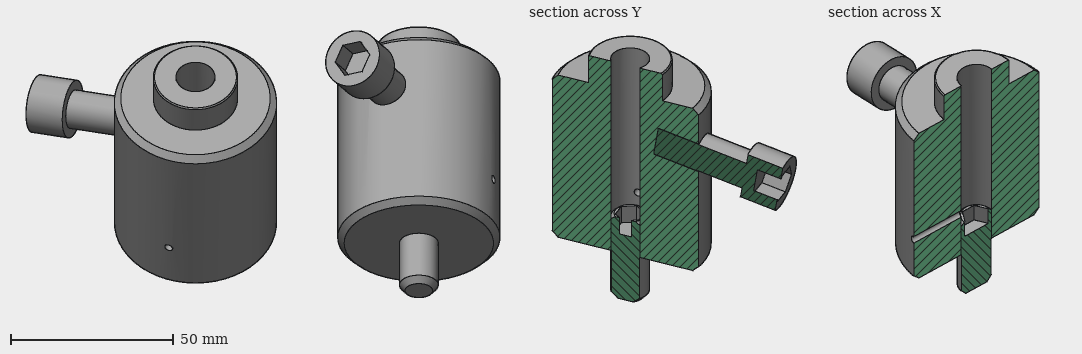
import cadquery as cq
import math


body_diameter = 50.0
body_height = 60.0
body_chamfer = 2.0
collar_diameter = 26.0
collar_height = 10.0
collar_chamfer = 0.4
housing_height = body_height + collar_height

vent_diameter = 2.5
vent_height = 17.0

thread_diameter = 12.0
screw_length = 30.0

set_screw_projection = 17.0
set_screw_top_chamfer = 1.07
set_screw_tip_chamfer_width = 1.75
set_screw_tip_chamfer_height = 2.0
set_screw_socket_flats = 8.0
set_screw_socket_depth = 6.0

cap_screw_tilt = 9.0
cap_head_diameter = 18.0
cap_head_height = thread_diameter
cap_socket_flats = 10.0
cap_socket_depth = 8.0
cap_seat_x = -40.01
cap_seat_z = 39.75

cap_screw_plane = cq.Plane(origin=(cap_seat_x, 0, cap_seat_z), xDir=(0, 1, 0), normal=(1, 0, 0)).rotated(
    (-cap_screw_tilt, 0, 0)
)


def hex_prism(plane, across_flats, length):
    """Hexagonal prism with two corners on the plane's X axis."""
    hex_sides = 6
    across_corners = across_flats / math.cos(math.pi / hex_sides)
    return cq.Workplane(plane).polygon(hex_sides, across_corners).extrude(length)


def cap_screw_shank():
    return cq.Workplane(cap_screw_plane).circle(thread_diameter / 2).extrude(screw_length)


def make_housing():
    body = cq.Workplane("XY").circle(body_diameter / 2).extrude(body_height)
    body = body.edges().chamfer(body_chamfer)

    collar = cq.Workplane("XY").workplane(offset=body_height)
    collar = collar.circle(collar_diameter / 2).extrude(collar_height)
    collar = collar.faces(">Z").edges().chamfer(collar_chamfer)

    bore = cq.Workplane("XY").circle(thread_diameter / 2).extrude(housing_height)

    vent = cq.Workplane("XZ").center(0, vent_height).circle(vent_diameter / 2).extrude(body_diameter / 2)

    return body.union(collar).cut(bore).cut(vent).cut(cap_screw_shank()).solids()


def make_set_screw():
    screw = cq.Workplane("XY").workplane(offset=-set_screw_projection)
    screw = screw.circle(thread_diameter / 2).extrude(screw_length)
    screw = screw.faces(">Z").edges().chamfer(set_screw_top_chamfer)
    screw = screw.faces("<Z").edges().chamfer(set_screw_tip_chamfer_height, set_screw_tip_chamfer_width)

    top = screw_length - set_screw_projection
    socket_plane = cq.Plane(origin=(0, 0, top), xDir=(0, 1, 0), normal=(0, 0, -1))
    return screw.cut(hex_prism(socket_plane, set_screw_socket_flats, set_screw_socket_depth)).solids()


def make_cap_screw():
    head = cq.Workplane(cap_screw_plane).circle(cap_head_diameter / 2).extrude(-cap_head_height)

    head_top = cap_screw_plane.toWorldCoords((0, 0, -cap_head_height))
    socket_plane = cq.Plane(origin=head_top, xDir=cap_screw_plane.xDir, normal=cap_screw_plane.zDir)
    socket = hex_prism(socket_plane, cap_socket_flats, cap_socket_depth)
    return head.union(cap_screw_shank()).cut(socket).solids()


housing = make_housing()
set_screw = make_set_screw()
cap_screw = make_cap_screw()

result = cq.Compound.makeCompound([housing.val(), set_screw.val(), cap_screw.val()])